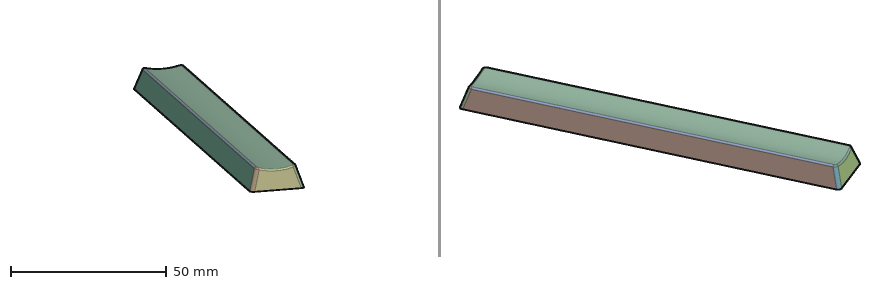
import cadquery as cq

length = 132.6
width = 18.3

wall_angle = 17.5
corner_radius = 1.3

dish_floor_height = 6.5
dish_radius = 21.9
rim_radius = 0.7

cutting_allowance = 2.7
block_height = dish_floor_height + cutting_allowance


def tapered_block():
    """Bar with all four walls leaning inward and rounded corners between them."""
    block = cq.Workplane("XY").rect(length, width).extrude(block_height, taper=wall_angle)
    sloping_edges = block.edges("not(|X or |Y)")
    return sloping_edges.fillet(corner_radius)


def dish_cutter():
    """Cylinder along X whose lowest line is the floor of the dish."""
    dish_axis_height = dish_floor_height + dish_radius
    section = cq.Workplane("YZ").center(0, dish_axis_height).circle(dish_radius)
    return section.extrude(length / 2, both=True)


def round_rim(bar):
    """Round the whole outline where the dish meets the walls and corners."""
    dish_face = bar.faces(">Z")
    return dish_face.edges().fillet(rim_radius)


result = round_rim(tapered_block().cut(dish_cutter()))